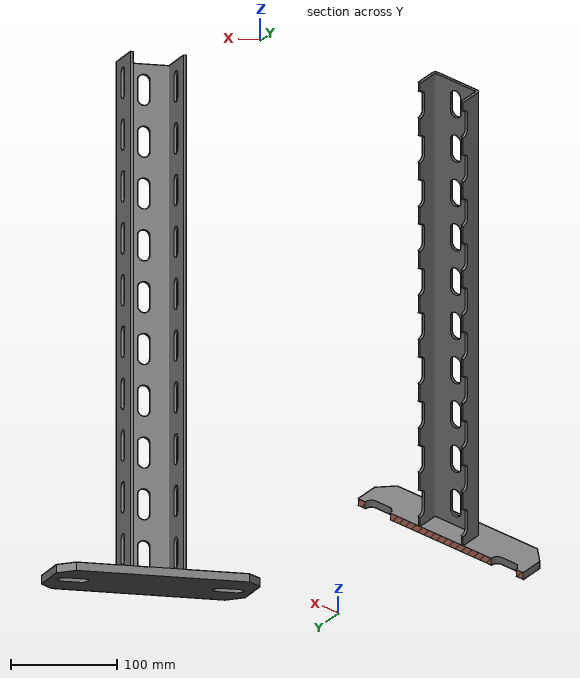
import cadquery as cq

total_height = 508.0
plate_length = 200.0
plate_width = 80.0
plate_thickness = 8.0
plate_corner_cut = 15.0

plate_slot_length = 30.0
plate_slot_width = 14.0
plate_slot_spacing = 152.5

channel_width = 55.0
channel_depth = 50.0
channel_height = total_height - plate_thickness
wall_thickness = 2.8
bend_outer_radius = 3.5
bend_inner_radius = bend_outer_radius - wall_thickness

slot_count = 10
slot_pitch = channel_height / slot_count
slot_length = 30.0
slot_width = 12.0


def make_base_plate():
    """Flat plate with cut corners and two slots, its underside at Z = 0."""
    plate = cq.Workplane("XY").box(plate_length, plate_width, plate_thickness, centered=(True, True, False))
    plate = plate.edges("|Z").chamfer(plate_corner_cut)
    return (
        plate.faces(">Z")
        .workplane()
        .rarray(plate_slot_spacing, 5, 2, 1)
        .slot2D(plate_slot_length, plate_slot_width)
        .cutThruAll()
    )


def make_rounded_block(width, offset_y, corner_radius):
    """Upright block on the plate, its two -Y corners rounded."""
    return (
        cq.Workplane("XY", origin=(0, offset_y, plate_thickness))
        .box(width, channel_depth, channel_height, centered=(True, True, False))
        .edges("|Z and <Y")
        .fillet(corner_radius)
    )


def make_bent_sheet():
    """Unpierced channel: a web on the -Y side and a flange on each X side."""
    outside = make_rounded_block(channel_width, 0, bend_outer_radius)
    inside = make_rounded_block(channel_width - 2 * wall_thickness, wall_thickness, bend_inner_radius)
    return outside.cut(inside)


def make_slot_row(plane):
    """Cutters for one row of upright slots, reaching out both ways from the channel's middle."""
    middle_height = plate_thickness + channel_height / 2
    return (
        cq.Workplane(plane, origin=(0, 0, middle_height))
        .rarray(5, slot_pitch, 1, slot_count)
        .slot2D(slot_length, slot_width, 90)
        .extrude(channel_width, both=True)
    )


def make_channel():
    """Channel with a slot row through the web and another through both flanges."""
    return make_bent_sheet().cut(make_slot_row("XZ")).cut(make_slot_row("YZ"))


base_plate = make_base_plate()
channel = make_channel()

result = cq.Compound.makeCompound([base_plate.val(), channel.val()])